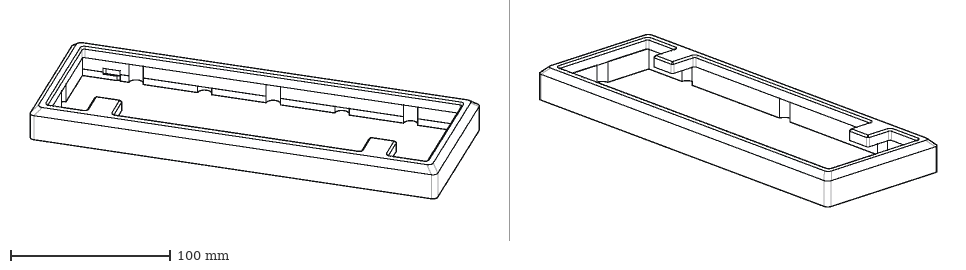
import cadquery as cq
LENGTH = 267.2
WIDTH = 95.7
HEIGHT = 21.6

CORNER_RADIUS = 3.2
SLOPE_WIDTH = 4.3
SLOPE_HEIGHT = 4.3

TOP_PLATE = 7.5
WINDOW_LENGTH = LENGTH - 18.5
WINDOW_WIDTH = WIDTH - 19.2
WINDOW_RADIUS = 1.3
WINDOW_BEVEL = 1.3

TAB_WIDTH = 18.0
TAB_REACH = 19.2

CAVITY_LENGTH = LENGTH - 16.8
CAVITY_WIDTH = WIDTH - 16
CAVITY_HEIGHT = HEIGHT - TOP_PLATE
BAND_HEIGHT = 4.8
BAND_RECESS = 0.13

GROOVE_DIAMETER = 9.4
STATION = 90.0

POCKET_CENTER_X = -106.0
POCKET_WIDTH = 11.2
POCKET_DEPTH = 6.7
POCKET_HEIGHT = 7.5
LIP_HEIGHT = 3.2
LIP_THICKNESS = 1.3
LIP_GROOVE_DIAMETER = 2.0

REAR_WALL = CAVITY_WIDTH / 2
SIDE_WALL = CAVITY_LENGTH / 2


def rounded_rectangle(length, width, radius, z=0):
    sketch = cq.Sketch().rect(length, width).vertices().fillet(radius)
    return sketch.moved(cq.Location(cq.Vector(0, 0, z)))


def block(length, width, height, x=0, y=0, z=0):
    """Box standing on height z, centred on x and y."""
    return cq.Workplane("XY", origin=(x, y, z)).box(length, width, height, centered=(True, True, False))


def outer_shell():
    shoulder = HEIGHT - SLOPE_HEIGHT
    base = rounded_rectangle(LENGTH, WIDTH, CORNER_RADIUS)
    slope_bottom = rounded_rectangle(LENGTH, WIDTH, CORNER_RADIUS, shoulder)
    slope_top = rounded_rectangle(
        LENGTH - 2 * SLOPE_WIDTH, WIDTH - 2 * SLOPE_WIDTH, CORNER_RADIUS, HEIGHT
    )
    sides = cq.Workplane("XY").placeSketch(base).extrude(shoulder)
    slope = cq.Workplane("XY").placeSketch(slope_bottom, slope_top).loft(ruled=True)
    return sides.union(slope)


def window():
    """Opening of the top plate, notched around the tabs and bevelled along its top edge."""
    hole = block(WINDOW_LENGTH, WINDOW_WIDTH, TOP_PLATE, z=CAVITY_HEIGHT)
    tab_y = (TAB_REACH - WINDOW_WIDTH) / 2
    for x in (-STATION, STATION):
        hole = hole.cut(block(TAB_WIDTH, TAB_REACH, TOP_PLATE, x, tab_y, CAVITY_HEIGHT))
    hole = hole.edges("|Z").fillet(WINDOW_RADIUS)
    bevel = (
        hole.faces(">Z").wires().toPending().workplane()
        .offset2D(WINDOW_BEVEL)
        .extrude(-WINDOW_BEVEL, taper=45, combine=False)
    )
    return hole.union(bevel)


def cavity():
    """Space below the top plate; its lower band is set back into the rear wall."""
    space = block(CAVITY_LENGTH, CAVITY_WIDTH, CAVITY_HEIGHT)
    band = block(CAVITY_LENGTH, CAVITY_WIDTH, BAND_HEIGHT, y=BAND_RECESS)
    return space.union(band)


def grooves():
    tall_places = [(x, y) for x in (-STATION, 0, STATION) for y in (-REAR_WALL, REAR_WALL)]
    tall_places += [(-SIDE_WALL, 0), (SIDE_WALL, 0)]
    short_places = [(-STATION / 2, REAR_WALL), (STATION / 2, REAR_WALL)]
    radius = GROOVE_DIAMETER / 2
    tall = cq.Workplane("XY").pushPoints(tall_places).circle(radius).extrude(CAVITY_HEIGHT)
    short = cq.Workplane("XY").pushPoints(short_places).circle(radius).extrude(BAND_HEIGHT)
    return tall.union(short)


def pocket():
    """Recess open to the cavity and to the bottom, less the lip that closes its lower front."""
    space = block(POCKET_WIDTH, POCKET_DEPTH, POCKET_HEIGHT, POCKET_CENTER_X, REAR_WALL + POCKET_DEPTH / 2)
    lip_front = REAR_WALL + BAND_RECESS
    lip = block(POCKET_WIDTH, LIP_THICKNESS, LIP_HEIGHT, POCKET_CENTER_X, lip_front + LIP_THICKNESS / 2)
    groove_radius = LIP_GROOVE_DIAMETER / 2
    groove_x = POCKET_CENTER_X + POCKET_WIDTH / 2 - groove_radius
    lip_groove = cq.Workplane("XY").center(groove_x, lip_front).circle(groove_radius).extrude(LIP_HEIGHT)
    return space.cut(lip.cut(lip_groove))


result = outer_shell().cut(window()).cut(cavity()).cut(grooves()).cut(pocket())